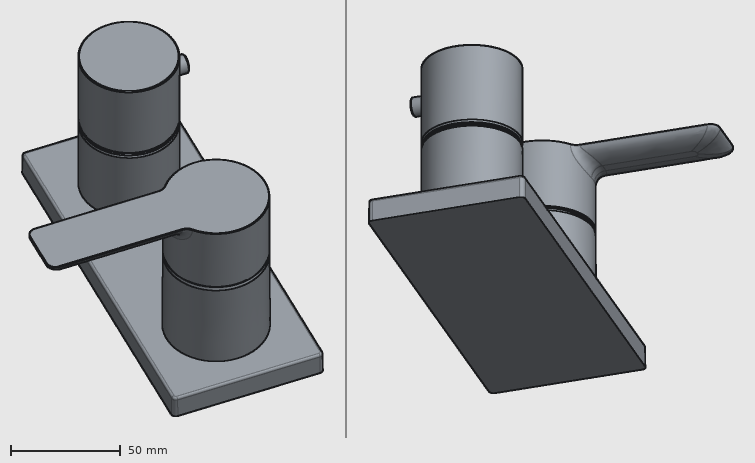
import cadquery as cq
import math

overall_width = 125.8

plate_length = 175.0
plate_width = 75.0
plate_thickness = 11.5
plate_draft = 1.0
plate_corner_radius = 2.3
plate_top_radius = 1.2

control_offset = 50.0
edge_chamfer = 0.5
top_edge_chamfer = 0.4

knob_radius = 23.1
knob_top = 91.7
knob_gap_bottom = 50.5
knob_gap_top = 51.8
knob_gap_depth = 1.5
knob_gap_chamfer = 1.0

button_radius = 4.5
button_height = 76.3
button_reach = 28.4
button_chamfer = 0.7

column_base_radius = 24.7
column_radius = 24.3
column_top = 92.5
column_gap_bottom = 58.0
column_gap_top = 58.6
column_gap_depth = 1.0
column_bevel_height = 1.5

lever_width = 27.5
lever_reach = overall_width - plate_width / 2
lever_depth = 6.5
lever_rim = 0.5
lever_bow_width = 11.2
lever_base_corner_radius = 2.1
lever_bow_steps = 4
lever_corner_radius = 4.5
lever_tip_length = 14.0
lever_neck_radius = 5.2


def revolve_profile(points, x):
    """Revolve a closed (radius, height) profile about a vertical axis at x."""
    profile = cq.Workplane("XZ").polyline(points).close()
    return profile.revolve(360, (0, 0, 0), (0, 1, 0)).translate((x, 0, 0))


def make_plate():
    outline = cq.Sketch().rect(plate_length, plate_width).vertices().fillet(plate_corner_radius)
    plate = cq.Workplane("XY").placeSketch(outline).extrude(plate_thickness, taper=plate_draft)
    return plate.faces(">Z").edges().fillet(plate_top_radius)


def make_knob():
    bevelled_radius = knob_radius - edge_chamfer
    gap_radius = knob_radius - knob_gap_depth
    return revolve_profile(
        [
            (0, 0),
            (knob_radius, 0),
            (knob_radius, knob_gap_bottom - knob_gap_chamfer),
            (bevelled_radius, knob_gap_bottom),
            (gap_radius, knob_gap_bottom),
            (gap_radius, knob_gap_top),
            (bevelled_radius, knob_gap_top),
            (knob_radius, knob_gap_top + knob_gap_chamfer),
            (knob_radius, knob_top - edge_chamfer),
            (bevelled_radius, knob_top),
            (0, knob_top),
        ],
        -control_offset,
    )


def make_button():
    button = cq.Workplane("XZ").circle(button_radius).extrude(-button_reach)
    button = button.faces(">Y").chamfer(button_chamfer)
    return button.translate((-control_offset, 0, button_height))


def make_column():
    bevelled_radius = column_radius - edge_chamfer
    gap_radius = column_radius - column_gap_depth
    return revolve_profile(
        [
            (0, 0),
            (column_base_radius, 0),
            (column_radius, column_gap_bottom - column_bevel_height),
            (bevelled_radius, column_gap_bottom),
            (gap_radius, column_gap_bottom),
            (gap_radius, column_gap_top),
            (column_radius, column_gap_top),
            (column_radius, column_top),
            (0, column_top),
        ],
        control_offset,
    )


def lever_outline(side_inset, tip_inset):
    """Rounded plan of the lever, drawn in at its sides and at its tip."""
    width = lever_width - 2 * side_inset
    length = lever_reach - tip_inset
    narrowing = side_inset / lever_bow_width
    corner_radius = lever_corner_radius + narrowing * (lever_base_corner_radius - lever_corner_radius)
    outline = cq.Sketch().rect(width, 2 * length)
    return outline.vertices().fillet(corner_radius)


def make_lever():
    """Flat-topped lever whose underside bows in elliptically at the sides and tip."""
    rim_bottom = column_top - lever_rim
    bow_height = lever_depth - lever_rim
    full_outline = lever_outline(0, 0)
    rim = cq.Workplane("XY", origin=(0, 0, rim_bottom)).placeSketch(full_outline).extrude(lever_rim)

    layers = []
    for step in range(lever_bow_steps + 1):
        angle = math.radians(90 * step / lever_bow_steps)
        inset = 1 - math.cos(angle)
        outline = lever_outline(inset * lever_bow_width, inset * lever_tip_length)
        height = rim_bottom - bow_height * math.sin(angle)
        layers.append(outline.moved(cq.Location(cq.Vector(0, 0, height))))
    underside = cq.Workplane("XY").placeSketch(*layers).loft()

    front_half = cq.Workplane("XY").box(
        lever_width, lever_reach, column_top, centered=(True, False, False)
    ).translate((0, -lever_reach, 0))
    return rim.union(underside).intersect(front_half).translate((control_offset, 0, 0))


def blend_lever(column, lever):
    """Join the lever to the column with a fillet round the neck and break the top edge."""
    joined = column.union(lever)
    neck = cq.selectors.BoxSelector(
        (control_offset - lever_width, -lever_width, column_top - 2 * lever_depth),
        (control_offset + lever_width, -column_radius / 2, column_top - lever_rim / 4),
    )
    blended = joined.edges(neck).fillet(lever_neck_radius)
    return blended.faces(">Z").chamfer(top_edge_chamfer)


handle = blend_lever(make_column(), make_lever())
result = make_plate().union(make_knob()).union(make_button()).union(handle)